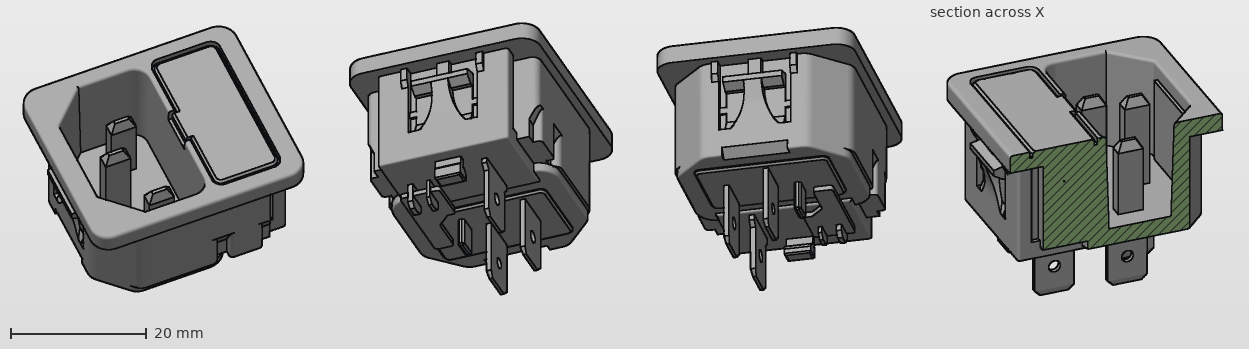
import cadquery as cq

FLANGE_X = 30.0
FLANGE_Y = 34.0
FLANGE_THICKNESS = 2.95
FLANGE_CORNER_RADIUS = 2.9
FLANGE_EDGE_RADIUS = 0.55

HOUSING_HALF_X = 13.67
HOUSING_FRONT = -15.25
HOUSING_BACK = 11.73
HOUSING_BACK_RADIUS = 1.35
HOUSING_CHAMFER_SUM = 23.2
HOUSING_CHAMFER_ROUND = 2.45
STEP_Z = -17.07
LOWER_HALF_X = 13.23
LOWER_BACK = 5.03
LOWER_BACK_RADIUS = 3.4
LOWER_Z = -18.45
BOTTOM_PAD_X = 20.47
BOTTOM_PAD_FRONT = -11.75
BOTTOM_PAD_BACK = 0.37
BOTTOM_PAD_Z = -18.97
BOTTOM_PAD_RADIUS = 1.02
BOTTOM_EDGE_RADIUS = 0.35
FRONT_NOTCH_X = 9.95
FRONT_NOTCH_DEPTH = 1.35

FUSE_HALF_X = 10.35
FUSE_FRONT = 2.48
FUSE_BACK = -HOUSING_FRONT
FUSE_Z = -18.9
FUSE_CORNER_RADIUS = 0.5
SIDE_GROOVE_BACK = 13.1
SIDE_GROOVE_DEPTH = 0.68
SIDE_GROOVE_RADIUS = 0.65
SIDE_GROOVE_Z = -15.98

POCKETS = [(9.5, HOUSING_BACK, 0.65, 0), (2.0, 5.4, 1.12, 0.58)]
POCKET_TOP_Z = -11.12
POCKET_SLOPE_END_Z = -14.0
POCKET_DEPTH = 1.35

CAVITY_HALF_X = 12.35
CAVITY_BACK = 2.1
CAVITY_FRONT = -13.67
CAVITY_BEVEL_Y = -8.25
CAVITY_FRONT_HALF_X = 7.05
CAVITY_DEPTH = 15.65
CAVITY_DRAFT = 1.3
CAVITY_BACK_RADIUS = 2.38
CAVITY_FRONT_RADIUS = 0.6
CAVITY_RIM_RADIUS = 0.48
LEDGE_X = 10.88
LEDGE_FACE = -13.05
LEDGE_TOP_Z = -2.38

PIN_X = 2.0
PIN_Y = 4.0
PIN_TIP_X = 0.55
PIN_TIP_Y = 2.28
LINE_PIN_TOP_Z = -3.88
EARTH_PIN_TOP_Z = -0.95
PIN_TAPER = 1.5
PIN_PITCH = 7.05
LINE_PIN_Y = -3.75
EARTH_PIN_Y = -7.72

DRAWER_BACK = 13.53
DRAWER_FRONT = 3.33
DRAWER_HALF_X = 12.0
DRAWER_RADIUS = 1.2
DRAWER_EDGE = 0.37
DRAWER_GAP_SIDE = 0.55
DRAWER_GAP_END = 0.35
DRAWER_GAP_DEPTH = 1.02
TAB_X = 4.95
TAB_FACE = 2.45
TAB_Z = -1.35
TAB_NOTCH_X = 5.9
TAB_NOTCH_FRONT = 1.02
TAB_NOTCH_Z = -1.87

CLIP_HALF_X = 4.45
CLIP_RECESS_HALF_X = 5.47
CLIP_RECESS_FACE = -14.25
CLIP_RECESS_Z = -14.08
CLIP_TOP_Z = -5.58
CLIP_LIP_TOP_Z = -6.12
CLIP_LIP_Z = -7.0
CLIP_ROOT_Z = -7.9
CLIP_TIP = -16.7
CLIP_PANEL_FACE = -14.6
CLIP_PANEL_FOOT_Z = -12.65
RAMP_KNEE = (-15.78, -9.72)
RAMP_HOLLOW = (-15.4, -11.22)
RAMP_Z = -13.05
RAMP_TOP_HALF_X = 1.35
RAMP_FOOT_HALF_X = 3.67
RAMP_ARC_MID = (1.87, -10.95)
CLIP_RIB_X = 1.95
CLIP_BAR_TOP_Z = -10.13
CLIP_BAR_Z = -11.15
RAIL_WIDTH = 1.02
RAIL_FACE = -15.78
RAIL_Z = -4.95
RAIL_FOOT_Z = -6.05

BLADE_THICKNESS = 0.78
BLADE_WIDTH = 6.3
BLADE_END_Z = -28.25
BLADE_TIP = 0.9
BLADE_TIP_SIDE = 0.15
BLADE_ROOT_Z = -17.68
LINE_BLADE_X = -6.35
EARTH_BLADE_X = 0.58
FUSE_BLADE_X = -5.05
FUSE_BLADE_Y = 7.38
LARGE_HOLE = 1.85
SMALL_HOLE = 1.63
LINE_HOLE_Z = -23.75
EARTH_HOLE_Z = -24.2
SHOULDER_WIDTH = 8.02
SHOULDER_Z = -19.72
SHOULDER_END_Z = -20.55

BUS_OUTLINE = [
    (3.1, 8.85),
    (3.1, 2.25),
    (4.42, 2.25),
    (6.43, 0.2),
    (6.43, -5.45),
    (9.4, -5.45),
    (9.4, 8.85),
]
BUS_CORNER_RADIUS = 0.5
BUS_TOP_Z = -20.13
BUS_Z = -20.9
LEG_WIDTH = 3.4
THICK_LEG_X = 4.05
THICK_LEG_THICKNESS = 1.02
THICK_LEG_Z = -23.45
THICK_LEG_ROUND = 0.3
THIN_LEGS = [(4.75, 0.55), (7.6, 0.78)]
THIN_LEG_Z = -22.7
THIN_LEG_TIP = 0.8

HOOK_X = 4.05
HOOK_OUTER = 13.35
HOOK_STEM_OUTER = 13.2
HOOK_STEM_INNER = 12.17
HOOK_INNER = 10.98
HOOK_HEAD_Z = -20.2
HOOK_CURVE_Z = -21.15
HOOK_CURVE_MID = (11.4, -20.55)
HOOK_Z = -22.1
HOOK_EDGE = 0.25


def block(x_range, y_range, z_range):
    """Box spanning the given coordinate ranges."""
    spans = [sorted(r) for r in (x_range, y_range, z_range)]
    sizes = [high - low for low, high in spans]
    corner = tuple(low for low, high in spans)
    return cq.Workplane("XY").box(*sizes, centered=False).translate(corner)


def centred_block(width, y_range, z_range):
    """Box centred on X = 0."""
    return block((-width / 2, width / 2), y_range, z_range)


def across_x(profile, x_from, x_to):
    """Extrude a closed Y-Z polygon from x_from to x_to."""
    wire = cq.Workplane("YZ", origin=(x_from, 0, 0)).polyline(profile).close()
    return wire.extrude(x_to - x_from)


def mirrored_x(shape):
    """A shape together with its mirror image across X = 0."""
    return shape.union(shape.mirror("YZ"))


def housing_block(half_x, back, back_radius, z_bottom):
    """Prism with 45 degree front corners and rounded back corners, hanging from the flange."""
    bevel_y = half_x - HOUSING_CHAMFER_SUM
    bevel_x = HOUSING_CHAMFER_SUM + HOUSING_FRONT
    points = [
        (-half_x, back),
        (half_x, back),
        (half_x, bevel_y),
        (bevel_x, HOUSING_FRONT),
        (-bevel_x, HOUSING_FRONT),
        (-half_x, bevel_y),
    ]
    top = -FLANGE_THICKNESS
    prism = cq.Workplane("XY", origin=(0, 0, top)).polyline(points).close().extrude(z_bottom - top)
    prism = prism.edges("|Z and >Y").fillet(back_radius)
    return prism.edges("|Z and (not >Y)").fillet(HOUSING_CHAMFER_ROUND)


def flange():
    plate = centred_block(FLANGE_X, (-FLANGE_Y / 2, FLANGE_Y / 2), (-FLANGE_THICKNESS, 0))
    plate = plate.edges("|Z").fillet(FLANGE_CORNER_RADIUS)
    return plate.faces(">Z").edges().fillet(FLANGE_EDGE_RADIUS)


def housing():
    upper = housing_block(HOUSING_HALF_X, HOUSING_BACK, HOUSING_BACK_RADIUS, STEP_Z)
    lower = housing_block(LOWER_HALF_X, LOWER_BACK, LOWER_BACK_RADIUS, LOWER_Z)
    lower = lower.faces("<Z").edges().fillet(BOTTOM_EDGE_RADIUS)
    pad = centred_block(BOTTOM_PAD_X, (BOTTOM_PAD_FRONT, BOTTOM_PAD_BACK), (STEP_Z, BOTTOM_PAD_Z))
    pad = pad.edges("|Z").fillet(BOTTOM_PAD_RADIUS)
    pad = pad.faces("<Z").edges().chamfer(BOTTOM_EDGE_RADIUS)
    notch_profile = [
        (HOUSING_FRONT, STEP_Z),
        (HOUSING_FRONT + FRONT_NOTCH_DEPTH, LOWER_Z),
        (HOUSING_FRONT, LOWER_Z),
    ]
    notch = across_x(notch_profile, -FRONT_NOTCH_X / 2, FRONT_NOTCH_X / 2)
    return upper.union(lower).union(pad).cut(notch)


def fuse_compartment():
    body = centred_block(2 * FUSE_HALF_X, (FUSE_FRONT, FUSE_BACK), (-FLANGE_THICKNESS, FUSE_Z))
    body = body.edges("|Z and >Y").fillet(FUSE_CORNER_RADIUS)
    body = body.faces("<Z").edges().fillet(BOTTOM_EDGE_RADIUS)
    groove = block(
        (FUSE_HALF_X - SIDE_GROOVE_DEPTH, FUSE_HALF_X),
        (HOUSING_BACK, SIDE_GROOVE_BACK),
        (-FLANGE_THICKNESS, SIDE_GROOVE_Z),
    )
    groove = groove.edges("|Z and <X and >Y").fillet(SIDE_GROOVE_RADIUS)
    return body.cut(mirrored_x(groove))


def pocket_plan(front, back, front_radius, back_radius):
    """Full-height pocket whose mouth flares out with a rounded edge at each end."""
    inner_x = HOUSING_HALF_X - POCKET_DEPTH
    plan = cq.Workplane("XY", origin=(0, 0, STEP_Z)).moveTo(inner_x, front + front_radius)
    plan = plan.lineTo(HOUSING_HALF_X - front_radius, front + front_radius)
    plan = plan.radiusArc((HOUSING_HALF_X, front), front_radius)
    plan = plan.lineTo(HOUSING_HALF_X, back)
    if back_radius:
        plan = plan.radiusArc((HOUSING_HALF_X - back_radius, back - back_radius), back_radius)
    plan = plan.lineTo(inner_x, back - back_radius).close()
    return plan.extrude(POCKET_TOP_Z - STEP_Z)


def side_pockets():
    """Pockets open at the bottom, whose roofs slope down into the side walls."""
    inner_x = HOUSING_HALF_X - POCKET_DEPTH
    profile = [
        (HOUSING_HALF_X, POCKET_TOP_Z),
        (inner_x, POCKET_SLOPE_END_Z),
        (inner_x, STEP_Z),
        (HOUSING_HALF_X, STEP_Z),
    ]
    wedge = cq.Workplane("XZ", origin=(0, HOUSING_BACK, 0)).polyline(profile).close().extrude(HOUSING_BACK)
    plans = cq.Workplane("XY")
    for pocket in POCKETS:
        plans = plans.add(pocket_plan(*pocket))
    return mirrored_x(wedge.intersect(plans.combine()))


def socket_cavity():
    points = [
        (-CAVITY_HALF_X, CAVITY_BACK),
        (CAVITY_HALF_X, CAVITY_BACK),
        (CAVITY_HALF_X, CAVITY_BEVEL_Y),
        (CAVITY_FRONT_HALF_X, CAVITY_FRONT),
        (-CAVITY_FRONT_HALF_X, CAVITY_FRONT),
        (-CAVITY_HALF_X, CAVITY_BEVEL_Y),
    ]
    outline = cq.Sketch().polygon(points + points[:1])
    outline = outline.vertices(">Y").fillet(CAVITY_BACK_RADIUS)
    outline = outline.reset().vertices("<Y").fillet(CAVITY_FRONT_RADIUS)
    return cq.Workplane("XY").placeSketch(outline).extrude(-CAVITY_DEPTH, taper=CAVITY_DRAFT)


def contact_pin(x, y, top_z):
    floor = -CAVITY_DEPTH - 0.35
    shoulder = top_z - PIN_TAPER
    shaft = block((x - PIN_X / 2, x + PIN_X / 2), (y - PIN_Y / 2, y + PIN_Y / 2), (floor, shoulder))
    tip = cq.Workplane("XY", origin=(x, y, shoulder)).rect(PIN_X, PIN_Y)
    tip = tip.workplane(offset=PIN_TAPER).rect(PIN_TIP_X, PIN_TIP_Y).loft(ruled=True)
    return shaft.union(tip)


def drawer_gap():
    """Ring-shaped gap around the fuse drawer, minus the drawer front itself."""
    gap = centred_block(
        2 * (DRAWER_HALF_X + DRAWER_GAP_SIDE),
        (DRAWER_FRONT - DRAWER_GAP_END, DRAWER_BACK + DRAWER_GAP_END),
        (-DRAWER_GAP_DEPTH, 0),
    )
    gap = gap.edges("|Z").fillet(DRAWER_RADIUS + DRAWER_GAP_END)
    notch = centred_block(TAB_NOTCH_X, (TAB_NOTCH_FRONT, DRAWER_FRONT), (TAB_NOTCH_Z, 0))
    front = centred_block(2 * DRAWER_HALF_X, (DRAWER_FRONT, DRAWER_BACK), (-DRAWER_GAP_DEPTH, 0))
    front = front.edges("|Z").fillet(DRAWER_RADIUS)
    front = front.faces(">Z").edges().chamfer(DRAWER_EDGE)
    tab = centred_block(TAB_X, (TAB_FACE, DRAWER_FRONT + DRAWER_EDGE), (TAB_Z, 0))
    tab = tab.faces(">Z").edges("<Y").chamfer(DRAWER_EDGE)
    return gap.union(notch).cut(front).cut(tab)


def clip_recess():
    return centred_block(
        2 * CLIP_RECESS_HALF_X,
        (HOUSING_FRONT, CLIP_RECESS_FACE),
        (-FLANGE_THICKNESS, CLIP_RECESS_Z),
    )


def clip_ramp():
    """Sloped support under the clip lip, narrow at the lip and flaring toward its foot."""
    wedge = (
        cq.Workplane("YZ", origin=(-CLIP_HALF_X, 0, 0))
        .moveTo(CLIP_RECESS_FACE, CLIP_LIP_Z)
        .lineTo(CLIP_TIP, CLIP_LIP_Z)
        .lineTo(*RAMP_KNEE)
        .threePointArc(RAMP_HOLLOW, (HOUSING_FRONT, RAMP_Z))
        .lineTo(HOUSING_FRONT, CLIP_RECESS_Z)
        .lineTo(CLIP_RECESS_FACE, CLIP_RECESS_Z)
        .close()
        .extrude(2 * CLIP_HALF_X)
    )
    mid_x, mid_z = RAMP_ARC_MID
    outline = (
        cq.Workplane("XZ", origin=(0, CLIP_RECESS_FACE, 0))
        .moveTo(-RAMP_TOP_HALF_X, CLIP_LIP_Z)
        .lineTo(RAMP_TOP_HALF_X, CLIP_LIP_Z)
        .threePointArc((mid_x, mid_z), (RAMP_FOOT_HALF_X, CLIP_RECESS_Z))
        .lineTo(-RAMP_FOOT_HALF_X, CLIP_RECESS_Z)
        .threePointArc((-mid_x, mid_z), (-RAMP_TOP_HALF_X, CLIP_LIP_Z))
        .close()
        .extrude(CLIP_RECESS_FACE - CLIP_TIP)
    )
    return wedge.intersect(outline)


def snap_clip():
    """Clip on the -Y face: lip, flared ramp, centre rib, side bars and two rails."""
    lip_profile = [
        (CLIP_RECESS_FACE, CLIP_TOP_Z),
        (CLIP_PANEL_FACE, CLIP_TOP_Z),
        (CLIP_TIP, CLIP_LIP_TOP_Z),
        (CLIP_TIP, CLIP_LIP_Z),
        (HOUSING_FRONT, CLIP_ROOT_Z),
        (CLIP_RECESS_FACE, CLIP_ROOT_Z),
    ]
    lip = across_x(lip_profile, -CLIP_HALF_X, CLIP_HALF_X)
    rib = centred_block(CLIP_RIB_X, (HOUSING_FRONT, CLIP_RECESS_FACE), (-FLANGE_THICKNESS, CLIP_TOP_Z))
    panel_profile = [
        (CLIP_RECESS_FACE, CLIP_ROOT_Z),
        (CLIP_PANEL_FACE, CLIP_ROOT_Z),
        (CLIP_PANEL_FACE, CLIP_PANEL_FOOT_Z),
        (HOUSING_FRONT, CLIP_RECESS_Z),
        (CLIP_RECESS_FACE, CLIP_RECESS_Z),
    ]
    panel = across_x(panel_profile, -CLIP_HALF_X, CLIP_HALF_X)
    bars = centred_block(
        2 * CLIP_RECESS_HALF_X, (CLIP_PANEL_FACE, CLIP_RECESS_FACE), (CLIP_BAR_TOP_Z, CLIP_BAR_Z)
    )
    rail_profile = [
        (HOUSING_FRONT, -FLANGE_THICKNESS),
        (RAIL_FACE, -FLANGE_THICKNESS),
        (RAIL_FACE, RAIL_Z),
        (HOUSING_FRONT, RAIL_FOOT_Z),
    ]
    rail = across_x(rail_profile, CLIP_RECESS_HALF_X, CLIP_RECESS_HALF_X + RAIL_WIDTH)
    clip = lip.union(clip_ramp()).union(rib).union(panel).union(bars)
    return clip.union(mirrored_x(rail))


def tipped_outline(centre, half_width, tip_side):
    """Outline of a terminal whose end narrows by tip_side on both edges."""
    tip_z = BLADE_END_Z + BLADE_TIP
    inner = half_width - tip_side
    return [
        (centre - half_width, BLADE_ROOT_Z),
        (centre - half_width, tip_z),
        (centre - inner, BLADE_END_Z),
        (centre + inner, BLADE_END_Z),
        (centre + half_width, tip_z),
        (centre + half_width, BLADE_ROOT_Z),
    ]


def blade(x, y, hole_diameter, hole_z):
    """Flat tab terminal, narrowed at the tip in width and thickness, with a round hole."""
    left = x - BLADE_THICKNESS / 2
    tab = across_x(tipped_outline(y, BLADE_WIDTH / 2, BLADE_TIP), left, left + BLADE_THICKNESS)
    edge_profile = tipped_outline(x, BLADE_THICKNESS / 2, BLADE_TIP_SIDE)
    edge_view = cq.Workplane("XZ", origin=(0, y + BLADE_WIDTH / 2, 0)).polyline(edge_profile).close()
    tab = tab.intersect(edge_view.extrude(BLADE_WIDTH))
    hole = cq.Workplane("YZ", origin=(left, y, hole_z)).circle(hole_diameter / 2).extrude(BLADE_THICKNESS)
    return tab.cut(hole)


def fuse_blade():
    """Tab terminal with wide shoulders next to the housing."""
    half = SHOULDER_WIDTH / 2
    neck = BLADE_WIDTH / 2
    y = FUSE_BLADE_Y
    profile = [
        (y - half, BLADE_ROOT_Z),
        (y - half, SHOULDER_Z),
        (y - neck, SHOULDER_END_Z),
        (y + neck, SHOULDER_END_Z),
        (y + half, SHOULDER_Z),
        (y + half, BLADE_ROOT_Z),
    ]
    left = FUSE_BLADE_X - BLADE_THICKNESS / 2
    shoulders = across_x(profile, left, left + BLADE_THICKNESS)
    return blade(FUSE_BLADE_X, y, LARGE_HOLE, LINE_HOLE_Z).union(shoulders)


def leg(x, y, thickness, end_z):
    """Flat leg hanging down from the housing."""
    x_range = (x - thickness / 2, x + thickness / 2)
    return block(x_range, (y - LEG_WIDTH / 2, y + LEG_WIDTH / 2), (BLADE_ROOT_Z, end_z))


def bus_bar():
    """Flat bar joining the thin legs."""
    bar = cq.Workplane("XY", origin=(0, 0, BUS_Z)).polyline(BUS_OUTLINE).close()
    bar = bar.extrude(BUS_TOP_Z - BUS_Z).edges("|Z").fillet(BUS_CORNER_RADIUS)
    for x, thickness in THIN_LEGS:
        thin_leg = leg(x, FUSE_BLADE_Y, thickness, THIN_LEG_Z)
        bar = bar.union(thin_leg.faces("<Z").edges("|X").chamfer(THIN_LEG_TIP))
    return bar


def thick_leg():
    body = leg(THICK_LEG_X, LINE_PIN_Y, THICK_LEG_THICKNESS, THICK_LEG_Z)
    return body.edges("|Z or <Z").chamfer(THICK_LEG_ROUND)


def latch_hook():
    hook = (
        cq.Workplane("YZ", origin=(-HOOK_X / 2, 0, 0))
        .moveTo(HOOK_STEM_OUTER, BLADE_ROOT_Z)
        .lineTo(HOOK_STEM_OUTER, HOOK_HEAD_Z)
        .lineTo(HOOK_OUTER, HOOK_HEAD_Z)
        .lineTo(HOOK_OUTER, HOOK_Z)
        .lineTo(HOOK_INNER, HOOK_Z)
        .lineTo(HOOK_INNER, HOOK_CURVE_Z)
        .threePointArc(HOOK_CURVE_MID, (HOOK_STEM_INNER, HOOK_HEAD_Z))
        .lineTo(HOOK_STEM_INNER, BLADE_ROOT_Z)
        .close()
        .extrude(HOOK_X)
    )
    return hook.faces("<Z").edges().chamfer(HOOK_EDGE)


shell = flange().union(housing()).union(fuse_compartment()).cut(side_pockets())
shell = shell.cut(socket_cavity())
shell = shell.edges(cq.selectors.BoxSelector((-13.6, -14.62, -0.05), (13.6, 2.72, 0.05))).fillet(CAVITY_RIM_RADIUS)
shell = shell.union(centred_block(LEDGE_X, (HOUSING_FRONT + 0.35, LEDGE_FACE), (-CAVITY_DEPTH, LEDGE_TOP_Z)))
shell = shell.cut(drawer_gap())

for side in (-1, 1):
    shell = shell.union(contact_pin(side * PIN_PITCH, LINE_PIN_Y, LINE_PIN_TOP_Z))
shell = shell.union(contact_pin(0, EARTH_PIN_Y, EARTH_PIN_TOP_Z))

recess = clip_recess()
clip = snap_clip()
shell = shell.cut(recess).cut(recess.mirror("XZ"))
shell = shell.union(clip).union(clip.mirror("XZ"))

shell = shell.union(blade(LINE_BLADE_X, LINE_PIN_Y, LARGE_HOLE, LINE_HOLE_Z))
shell = shell.union(blade(EARTH_BLADE_X, EARTH_PIN_Y, SMALL_HOLE, EARTH_HOLE_Z))
shell = shell.union(fuse_blade()).union(bus_bar()).union(thick_leg())
result = shell.union(latch_hook())